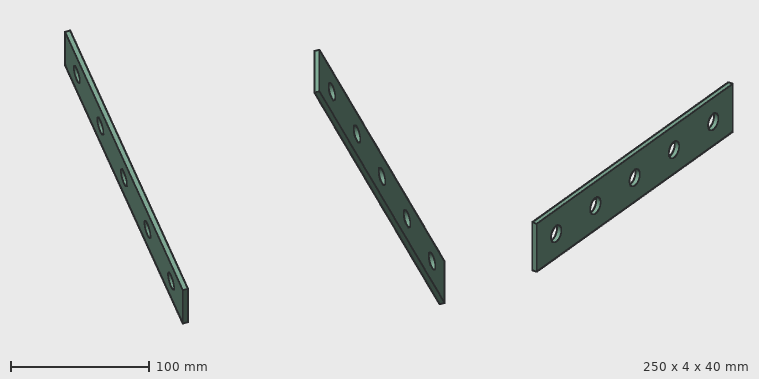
import cadquery as cq

length = 250.0
thickness = 4.0
height = 40.0

hole_count = 5
hole_diameter = 13.0
hole_pitch = length / hole_count

bar = cq.Workplane("XY").box(length, thickness, height)

result = (
    bar.faces("<Y")
    .workplane(centerOption="CenterOfBoundBox")
    .rarray(hole_pitch, hole_pitch, hole_count, 1)
    .hole(hole_diameter)
)